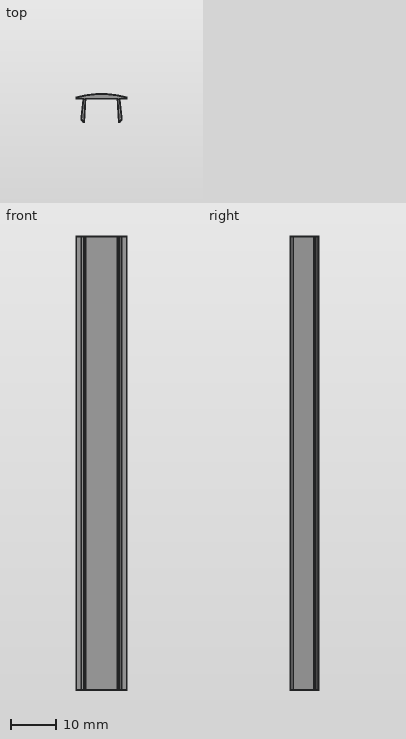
import cadquery as cq

length = 100.0
width = 11.2
depth = 6.3

dome_rise = 0.8
edge_thickness = 0.3

leg_root_outer_x = 4.0
leg_root_inner_x = 3.5
leg_tip_inner_x = 3.8
leg_tip_outer_x = 3.9
barb_x = 4.5
barb_height = 0.7

crown_y = depth / 2
tip_y = -depth / 2
cover_edge_y = crown_y - dome_rise
underside_y = cover_edge_y - edge_thickness


def make_cover():
    """Cover strip with a domed outer face and a flat underside."""
    half_width = width / 2
    return (
        cq.Workplane("XY")
        .moveTo(-half_width, underside_y)
        .lineTo(-half_width, cover_edge_y)
        .threePointArc((0, crown_y), (half_width, cover_edge_y))
        .lineTo(half_width, underside_y)
        .close()
        .extrude(length)
    )


def make_leg():
    """Tapered leg on the +X side, with an outward snap barb at its tip."""
    root_y = cover_edge_y
    outline = [
        (leg_root_inner_x, root_y),
        (leg_root_inner_x, underside_y),
        (leg_tip_inner_x, tip_y),
        (leg_tip_outer_x, tip_y),
        (barb_x, tip_y + barb_height),
        (leg_root_outer_x, underside_y),
        (leg_root_outer_x, root_y),
    ]
    return cq.Workplane("XY").polyline(outline).close().extrude(length)


leg = make_leg()
result = make_cover().union(leg).union(leg.mirror("YZ"))